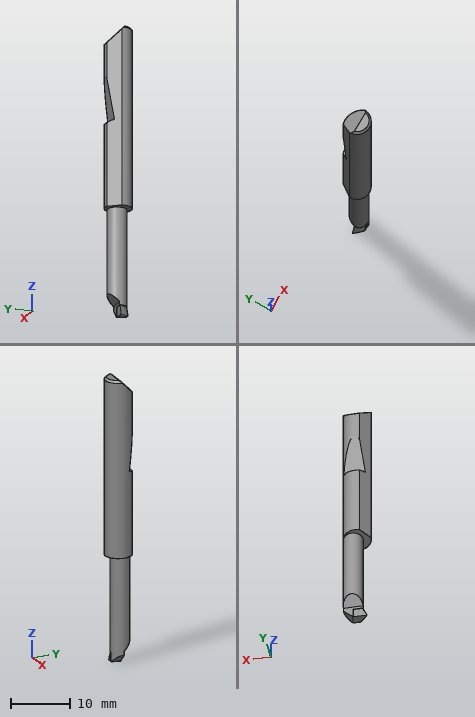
import cadquery as cq
import math

shank_diameter = 4.763
shank_radius = shank_diameter / 2
shank_length = 31.75
overall_length = 50.797
shank_bottom = overall_length - shank_length

end_chamfer = 0.38
end_slope_start_y = -0.54
flat_start_angle = 177.0
flat_end_angle = 110.5
notch_top = 42.4
notch_root = 34.35
notch_bottom = 33.8
notch_root_y = 1.18

neck_radius = 1.70
neck_x = shank_radius - neck_radius
neck_flat_y = 0.08
neck_flat_top = 2.4

hook_top = 1.86
hook_depth = 1.62
hook_corner_x = -1.72
side_angle = 22.0
side_clearance = 1.27
side_bulge = 0.08
end_edge_angle = 2.5
end_clearance_angle = 6.5
nose_radius = 0.1

margin = 5.0


def prism_along_x(points):
    """Solid with a (y, z) outline that passes through the part along X."""
    return cq.Workplane("YZ").polyline(points).close().extrude(margin, both=True)


def prism_along_y(points):
    """Solid with an (x, z) outline that passes through the part along Y."""
    return cq.Workplane("XZ").polyline(points).close().extrude(margin, both=True)


def point_on_shank(angle):
    radians = math.radians(angle)
    return shank_radius * math.cos(radians), shank_radius * math.sin(radians)


def side_flat():
    chord_start = point_on_shank(flat_start_angle)
    chord_end = point_on_shank(flat_end_angle)
    outer_corner = (-shank_radius - margin, shank_radius + margin)
    return (
        cq.Workplane("XY")
        .workplane(offset=shank_bottom)
        .polyline([chord_start, chord_end, outer_corner])
        .close()
        .extrude(shank_length)
    )


def end_slope():
    slope_run = shank_radius - end_slope_start_y + margin
    return prism_along_x([
        (end_slope_start_y, overall_length),
        (end_slope_start_y + slope_run, overall_length - slope_run),
        (end_slope_start_y + slope_run, overall_length),
    ])


def locating_notch():
    return prism_along_x([
        (shank_radius, notch_top),
        (notch_root_y, notch_root),
        (shank_radius, notch_bottom),
    ])


def make_shank():
    shank = (
        cq.Workplane("XY")
        .workplane(offset=shank_bottom)
        .circle(shank_radius)
        .extrude(shank_length)
        .faces(">Z")
        .chamfer(end_chamfer)
    )
    return shank.cut(side_flat()).cut(end_slope()).cut(locating_notch())


def rake_relief():
    """Clears the +Y half of the neck below a 45 degree run-out."""
    return prism_along_x([
        (neck_flat_y, -margin),
        (neck_flat_y, neck_flat_top),
        (neck_flat_y + margin, neck_flat_top + margin),
        (neck_flat_y + margin, -margin),
    ])


def hook_space():
    """Clears the -X half of the neck where the hook sits."""
    return prism_along_y([
        (neck_x, -margin),
        (neck_x, hook_top),
        (neck_x - margin, hook_top),
        (neck_x - margin, -margin),
    ])


def far_corner_bevel():
    """45 degree bevel on the +X side, running from the neck axis at z = 0."""
    return prism_along_y([
        (neck_x - margin, -margin),
        (neck_x, 0),
        (neck_x + margin, margin),
        (neck_x + margin, -margin),
    ])


def end_clearance_cut():
    """Block under the tip; its top face tilts up from the hook corner toward +X and -Y."""
    return (
        cq.Workplane("XY")
        .box(2 * margin, 2 * margin, margin, centered=(True, True, False))
        .translate((0, 0, -margin))
        .rotate((0, 0, 0), (1, 0, 0), -end_clearance_angle)
        .rotate((0, 0, 0), (0, 1, 0), -end_edge_angle)
        .translate((hook_corner_x, 0, 0))
    )


def make_neck():
    neck = cq.Workplane("XY").center(neck_x, 0).circle(neck_radius).extrude(shank_bottom)
    return neck.cut(rake_relief()).cut(hook_space()).cut(far_corner_bevel()).cut(end_clearance_cut())


def hook_plan(height):
    """Horizontal section of the hook, with its curved outer face shifted by the side lean."""
    front_x = hook_corner_x + height * math.tan(math.radians(side_angle))
    back_x = front_x + side_clearance
    chord = math.hypot(side_clearance, hook_depth)
    bulge_x = (front_x + back_x) / 2 - side_bulge * hook_depth / chord
    bulge_y = -hook_depth / 2 - side_bulge * side_clearance / chord
    return (
        cq.Workplane("XY", origin=(0, 0, height))
        .moveTo(front_x, 0)
        .threePointArc((bulge_x, bulge_y), (back_x, -hook_depth))
        .lineTo(neck_x, -hook_depth)
        .lineTo(neck_x, 0)
        .close()
        .wire()
        .val()
    )


def make_hook():
    blank = cq.Solid.makeLoft([hook_plan(0), hook_plan(hook_top)], True)
    hook = cq.Workplane(blank).cut(end_clearance_cut())
    nose_edge = hook.faces("<Z").edges("<X")
    return nose_edge.fillet(nose_radius)


result = make_shank().union(make_neck()).union(make_hook())